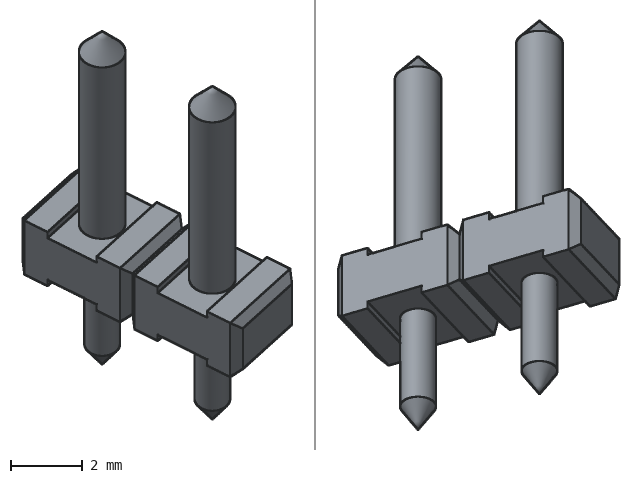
import cadquery as cq

PIN_COUNT = 2
PITCH = 3.81
PIN_LENGTH = 12.5

CELL_DEPTH = 2.8
CELL_HEIGHT = 2.02
CELL_BOTTOM = 3.5
END_CHAMFER = 0.25
RECESS_WIDTH = 1.7
RECESS_DEPTH = 0.22

POST_DIAMETER = 1.3
TAIL_DIAMETER = 1.0
TIP_HEIGHT = 0.78

CELL_TOP = CELL_BOTTOM + CELL_HEIGHT
CELL_MIDDLE = CELL_BOTTOM + CELL_HEIGHT / 2
SHOULDER_LEVEL = CELL_TOP - RECESS_DEPTH
WEB_HEIGHT = CELL_HEIGHT - 2 * RECESS_DEPTH

pin_positions = [(i - (PIN_COUNT - 1) / 2) * PITCH for i in range(PIN_COUNT)]


def make_cell(x):
    """One housing cell: end edges chamfered, with a cross recess above and below."""
    cell = (
        cq.Workplane("XY")
        .box(PITCH, CELL_DEPTH, CELL_HEIGHT)
        .faces("<X or >X")
        .edges()
        .chamfer(END_CHAMFER)
    )
    recess = cq.Workplane("XY").box(RECESS_WIDTH, CELL_DEPTH, RECESS_DEPTH)
    recess_offset = (WEB_HEIGHT + RECESS_DEPTH) / 2
    for side in (-1, 1):
        cell = cell.cut(recess.translate((0, 0, side * recess_offset)))
    return cell.translate((x, 0, CELL_MIDDLE))


def make_housing():
    """Cells joined end to end, each with a hole for the tail of its pin."""
    housing = make_cell(pin_positions[0])
    for x in pin_positions[1:]:
        housing = housing.union(make_cell(x))
    tail_holes = (
        cq.Workplane("XY")
        .workplane(offset=CELL_BOTTOM)
        .pushPoints([(x, 0) for x in pin_positions])
        .circle(TAIL_DIAMETER / 2)
        .extrude(CELL_HEIGHT)
    )
    return housing.cut(tail_holes)


def make_pin(x):
    """Turned pin: conical tips, and a thick post whose shoulder sits on the housing."""
    post_radius = POST_DIAMETER / 2
    tail_radius = TAIL_DIAMETER / 2
    half_profile = [
        (0, 0),
        (tail_radius, TIP_HEIGHT),
        (tail_radius, SHOULDER_LEVEL),
        (post_radius, SHOULDER_LEVEL),
        (post_radius, PIN_LENGTH - TIP_HEIGHT),
        (0, PIN_LENGTH),
    ]
    pin = cq.Workplane("XZ").polyline(half_profile).close().revolve(360, (0, 0), (0, 1))
    return pin.translate((x, 0, 0))


housing = make_housing()
pins = [make_pin(x) for x in pin_positions]

result = cq.Compound.makeCompound([housing.val(), *[pin.val() for pin in pins]])